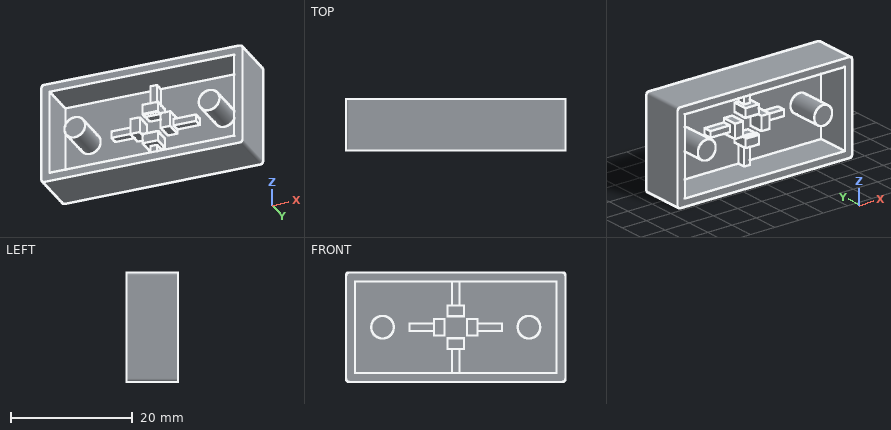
import cadquery as cq

length = 36.0
depth = 8.5
height = 18.0
wall = 1.5
floor_thickness = 2.1
corner_radius = 0.55

pin_diameter = 3.7
pin_spacing = 24.0

block_inner = 1.87
block_outer = 3.55
block_width = 2.75
block_setback = 3.42
ridge_rise = 0.1
ridge_depth = 1.1
rib_width = 1.2
rib_setback = 4.82
side_rib_end = 7.55

rim_y = -depth / 2
floor_y = depth / 2 - floor_thickness
cavity_length = length - 2 * wall
cavity_height = height - 2 * wall


def radial_bar(start, end, width, setback, angle):
    """Bar on the floor, from start to end along X, turned about the Y axis."""
    bar_depth = floor_y - (rim_y + setback)
    bar = cq.Workplane("XY").box(end - start, bar_depth, width)
    bar = bar.translate(((start + end) / 2, floor_y - bar_depth / 2, 0))
    return bar.rotate((0, 0, 0), (0, 1, 0), angle)


def snap_ridge(angle):
    """Ridge with 45-degree flanks on a block's inner face, starting at the block top."""
    top_y = rim_y + block_setback
    bottom_y = top_y + ridge_depth
    crest = block_inner - ridge_rise
    profile = [
        (block_inner, top_y),
        (crest, top_y + ridge_rise),
        (crest, bottom_y - ridge_rise),
        (block_inner, bottom_y),
    ]
    ridge = cq.Workplane("XY").polyline(profile).close().extrude(block_width / 2, both=True)
    return ridge.rotate((0, 0, 0), (0, 1, 0), angle)


def make_housing():
    shell = cq.Workplane("XY").box(length, depth, height).edges("|Y").fillet(corner_radius)
    cavity = cq.Workplane("XY").box(cavity_length, floor_y - rim_y, cavity_height)
    return shell.cut(cavity.translate((0, (rim_y + floor_y) / 2, 0)))


def make_pin(x):
    pin = cq.Workplane("XZ", origin=(x, floor_y, 0)).circle(pin_diameter / 2)
    return pin.extrude(floor_y - rim_y)


result = make_housing()

for x in (-pin_spacing / 2, pin_spacing / 2):
    result = result.union(make_pin(x))

for angle in (0, 90, 180, 270):
    along_x = angle % 180 == 0
    rib_end = side_rib_end if along_x else cavity_height / 2
    block = radial_bar(block_inner, block_outer, block_width, block_setback, angle)
    rib = radial_bar(block_outer, rib_end, rib_width, rib_setback, angle)
    result = result.union(block).union(rib)
    if not along_x:
        result = result.union(snap_ridge(angle))